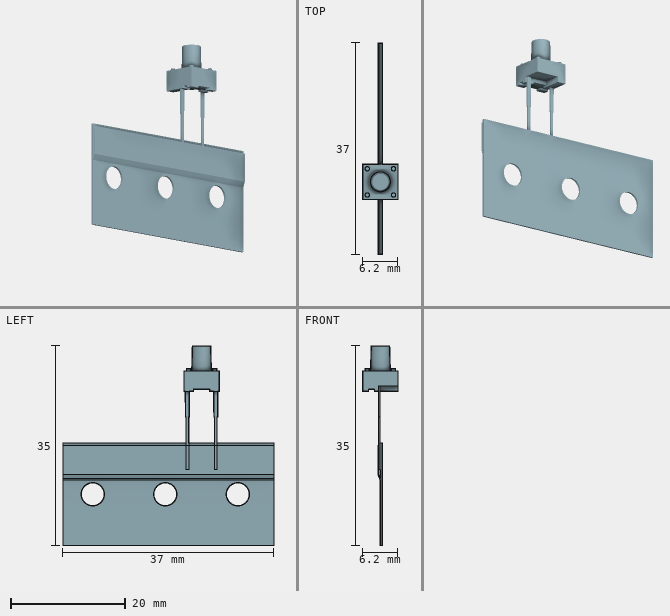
import cadquery as cq


BODY_SIDE = 6.2
BODY_HEIGHT = 3.6
GROOVE_DEPTH = 0.35
LENGTHWISE_GROOVE_WIDTH = 1.0
LENGTHWISE_GROOVE_X = -1.55
CROSS_GROOVE_WIDTH = 2.8
RECESS_HEIGHT = 1.0

BUTTON_TOP = 7.99
BUTTON_BASE_DIAMETER = 3.5
BUTTON_TOP_DIAMETER = 3.25
BUTTON_EDGE_RADIUS = 0.12
STUD_DIAMETER = 0.75
STUD_HEIGHT = 0.4
STUD_OFFSET = 2.3

LEAD_THICKNESS = 0.3
LEAD_X = -0.35
LEAD_OFFSET = 2.49
LEAD_ROOT_WIDTH = 0.75
LEAD_SHOULDER_WIDTH = 0.7
LEAD_TIP_WIDTH = 0.5
LEAD_SHOULDER = -4.45
LEAD_TIP = -13.7

TAPE_THICKNESS = 0.4
TAPE_X = LEAD_X + LEAD_THICKNESS
TAPE_LENGTH = 37.0
TAPE_WIDTH = 18.0
TAPE_TOP = -9.0
TAPE_BOTTOM = TAPE_TOP - TAPE_WIDTH
FEED_HOLE_DIAMETER = 4.0
FEED_HOLE_PITCH = 12.7
FEED_HOLE_Z = TAPE_TOP - TAPE_WIDTH / 2
FEED_HOLE_COUNT = 3
TAPE_Y_MIN = -FEED_HOLE_PITCH

STRIP_THICKNESS = 0.1
STRIP_TOP = -9.5
STRIP_BEND = -14.5
STRIP_END = -15.5
STRIP_FOOT_HEIGHT = 0.25

HALF_SIDE = BODY_SIDE / 2


def box(x_range, y_range, z_range):
    """Axis-aligned box between the given limits."""
    (x0, x1), (y0, y1), (z0, z1) = x_range, y_range, z_range
    return cq.Workplane("XY").box(x1 - x0, y1 - y0, z1 - z0, centered=False).translate((x0, y0, z0))


def make_body():
    """Square housing with two crossing grooves and a recess in its underside."""
    full = (-HALF_SIDE, HALF_SIDE)
    groove_height = (0, GROOVE_DEPTH)
    half_groove = LENGTHWISE_GROOVE_WIDTH / 2
    half_cross = CROSS_GROOVE_WIDTH / 2
    body = box(full, full, (0, BODY_HEIGHT))
    lengthwise_x = (LENGTHWISE_GROOVE_X - half_groove, LENGTHWISE_GROOVE_X + half_groove)
    body = body.cut(box(lengthwise_x, full, groove_height))
    body = body.cut(box(full, (-half_cross, half_cross), groove_height))
    return body.cut(box((LEAD_X, HALF_SIDE), (-HALF_SIDE, half_cross), (0, RECESS_HEIGHT)))


def make_button():
    """Slightly conical plunger with a rounded top edge."""
    button = (
        cq.Workplane("XY", origin=(0, 0, BODY_HEIGHT))
        .circle(BUTTON_BASE_DIAMETER / 2)
        .workplane(offset=BUTTON_TOP - BODY_HEIGHT)
        .circle(BUTTON_TOP_DIAMETER / 2)
        .loft()
    )
    return button.faces(">Z").edges().fillet(BUTTON_EDGE_RADIUS)


def make_studs():
    """Four round studs near the corners of the body top."""
    return (
        cq.Workplane("XY", origin=(0, 0, BODY_HEIGHT))
        .rect(2 * STUD_OFFSET, 2 * STUD_OFFSET, forConstruction=True)
        .vertices()
        .circle(STUD_DIAMETER / 2)
        .extrude(STUD_HEIGHT)
    )


def make_lead(y_center):
    """Flat lead that tapers down to a shoulder and runs on as a narrow, parallel tip."""
    half_root = LEAD_ROOT_WIDTH / 2
    half_shoulder = LEAD_SHOULDER_WIDTH / 2
    half_tip = LEAD_TIP_WIDTH / 2
    return (
        cq.Workplane("YZ", origin=(LEAD_X, y_center, 0))
        .polyline([
            (-half_root, RECESS_HEIGHT),
            (half_root, RECESS_HEIGHT),
            (half_root, 0),
            (half_shoulder, LEAD_SHOULDER),
            (half_tip, LEAD_SHOULDER),
            (half_tip, LEAD_TIP),
            (-half_tip, LEAD_TIP),
            (-half_tip, LEAD_SHOULDER),
            (-half_shoulder, LEAD_SHOULDER),
            (-half_root, 0),
        ])
        .close()
        .extrude(LEAD_THICKNESS)
    )


def make_tape():
    """Carrier tape with its row of feed holes."""
    y_range = (TAPE_Y_MIN, TAPE_Y_MIN + TAPE_LENGTH)
    tape = box((TAPE_X, TAPE_X + TAPE_THICKNESS), y_range, (TAPE_BOTTOM, TAPE_TOP))
    first_hole_y = TAPE_Y_MIN + FEED_HOLE_PITCH / 2
    hole_centers = [(first_hole_y + i * FEED_HOLE_PITCH, FEED_HOLE_Z) for i in range(FEED_HOLE_COUNT)]
    holes = (
        cq.Workplane("YZ", origin=(TAPE_X, 0, 0))
        .pushPoints(hole_centers)
        .circle(FEED_HOLE_DIAMETER / 2)
        .extrude(TAPE_THICKNESS)
    )
    return tape.cut(holes)


def make_strip():
    """Thin cover strip over the leads, bent back onto the tape along its lower edge."""
    inner_x = LEAD_X
    outer_x = inner_x - STRIP_THICKNESS
    inner_end = STRIP_END + STRIP_FOOT_HEIGHT
    return (
        cq.Workplane("XZ", origin=(0, TAPE_Y_MIN, 0))
        .polyline([
            (outer_x, STRIP_TOP),
            (inner_x, STRIP_TOP),
            (inner_x, STRIP_BEND),
            (TAPE_X, inner_end),
            (TAPE_X, STRIP_END),
            (outer_x, STRIP_BEND),
        ])
        .close()
        .extrude(-TAPE_LENGTH)
    )


result = make_body().union(make_button()).union(make_studs())
for lead_y in (-LEAD_OFFSET, LEAD_OFFSET):
    result = result.union(make_lead(lead_y))
result = result.union(make_tape()).union(make_strip())